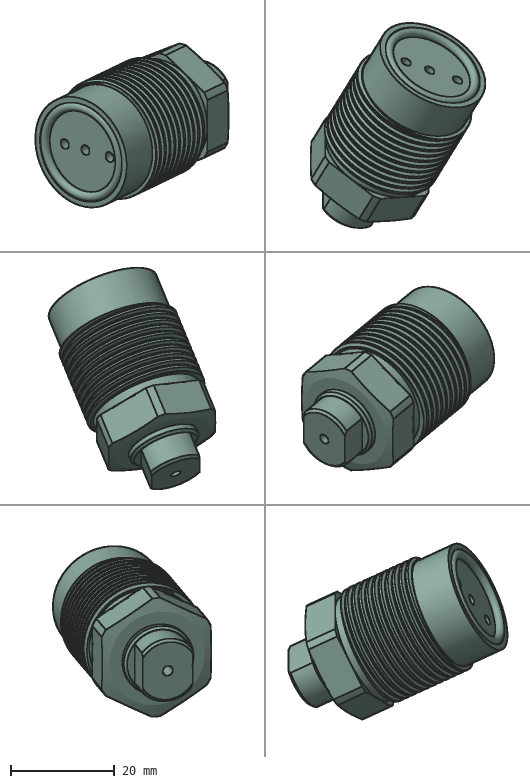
import cadquery as cq
import math


thread_start = 8.05
thread_end = 23.65
hex_start = 25.53
hex_end = 32.55
collar_end = 34.08

nose_radius = 11.2
thread_radius = 24.0 / 2
neck_radius = 11.0
hex_flat_radius = 11.0
hex_corner_radius = 24.5 / 2
hex_bevel_radius = 9.6
hex_bevel_depth = 0.6
collar_radius = 7.05
collar_chamfer = 0.5

nine_pitches = 13.5
pitch = nine_pitches / 9
crest_width = 0.5
root_width = 0.2
thread_depth = 0.68
ridge_embed = 0.05

recess_radius = 10.03
seal_tube_radius = 1.8 / 2
seal_protrusion = 0.4
seal_center_radius = recess_radius - seal_tube_radius
recess_depth = 2 * seal_tube_radius - seal_protrusion

stem_end = 39.95 - seal_protrusion
stem_radius = 6.45
stem_flat_distance = 5.0
stem_chamfer = 0.5
shank_radius = 4.5
shank_tip = 15.98

hole_diameter = 2.0
left_hole_x = -5.05
right_hole_x = 5.9
side_hole_depth = 17.98


def cylinder(radius, start, end):
    """Solid cylinder on the Y axis from y = start to y = end."""
    return (
        cq.Workplane("XZ", origin=(0, start, 0))
        .circle(radius)
        .extrude(start - end)
    )


def hole_cutter(x, end):
    """Round cutter parallel to Y, from the front face to y = end."""
    return cylinder(hole_diameter / 2, 0, end).translate((x, 0, 0))


def make_hexagon():
    """Hexagon with corners up and down, turned-down corners and a conical back bevel."""
    corner_to_corner = 2 * hex_flat_radius / math.cos(math.radians(30))
    prism = (
        cq.Workplane("XZ", origin=(0, hex_start, 0))
        .transformed(rotate=(0, 0, 90))
        .polygon(6, corner_to_corner)
        .extrude(hex_start - hex_end)
    )
    turned_blank = (
        cq.Workplane("XY")
        .moveTo(0, hex_start)
        .lineTo(hex_corner_radius, hex_start)
        .lineTo(hex_corner_radius, hex_end - hex_bevel_depth)
        .lineTo(hex_bevel_radius, hex_end)
        .lineTo(0, hex_end)
        .close()
        .revolve(360, (0, 0, 0), (0, 1, 0))
    )
    return prism.intersect(turned_blank)


def make_thread():
    """Core with a right-hand helical ridge, cut off square at both ends."""
    root_radius = thread_radius - thread_depth
    base_radius = root_radius - ridge_embed
    crest_half = crest_width / 2
    flank_slope = (pitch - crest_width - root_width) / 2 / thread_depth
    base_half = crest_half + flank_slope * (thread_depth + ridge_embed)

    thread_length = thread_end - thread_start
    helix = cq.Wire.makeHelix(pitch, thread_length + 3 * pitch, root_radius)
    ridge = (
        cq.Workplane("XZ")
        .polyline([
            (base_radius, -base_half),
            (thread_radius, -crest_half),
            (thread_radius, crest_half),
            (base_radius, base_half),
        ])
        .close()
        .sweep(cq.Workplane(helix), isFrenet=True)
        .rotate((0, 0, 0), (1, 0, 0), -90)
        .translate((0, thread_start - pitch, 0))
    )
    trimmed_ridge = ridge.intersect(cylinder(2 * thread_radius, thread_start, thread_end))
    return trimmed_ridge.union(cylinder(root_radius, thread_start, thread_end))


def make_housing():
    nose = cylinder(nose_radius, 0, thread_start)
    neck = cylinder(neck_radius, thread_end, hex_start)
    collar = cylinder(collar_radius, hex_end, collar_end).faces(">Y").chamfer(collar_chamfer)
    body = nose.union(make_thread()).union(neck).union(make_hexagon()).union(collar)

    return (
        body.cut(cylinder(recess_radius, 0, recess_depth))
        .cut(cylinder(shank_radius, shank_tip, collar_end))
        .cut(hole_cutter(0, collar_end))
        .cut(hole_cutter(left_hole_x, side_hole_depth))
        .cut(hole_cutter(right_hole_x, side_hole_depth))
    )


def make_seal_ring():
    return (
        cq.Workplane("XY")
        .center(seal_center_radius, seal_tube_radius - seal_protrusion)
        .circle(seal_tube_radius)
        .revolve(360, (-seal_center_radius, 0, 0), (-seal_center_radius, 1, 0))
    )


def make_stem():
    """Stem with two flats facing -X and +X, a plain shank and a through bore."""
    head = cylinder(stem_radius, collar_end, stem_end).faces(">Y").chamfer(stem_chamfer)
    head_length = stem_end - collar_end
    flats = cq.Workplane("XY").box(2 * stem_flat_distance, head_length, 2 * stem_radius)
    flats = flats.translate((0, collar_end + head_length / 2, 0))
    shank = cylinder(shank_radius, shank_tip, collar_end)
    return head.intersect(flats).union(shank).cut(hole_cutter(0, stem_end))


housing = make_housing()
seal_ring = make_seal_ring()
stem = make_stem()

result = cq.Compound.makeCompound([
    housing.solids().val(),
    seal_ring.solids().val(),
    stem.solids().val(),
])